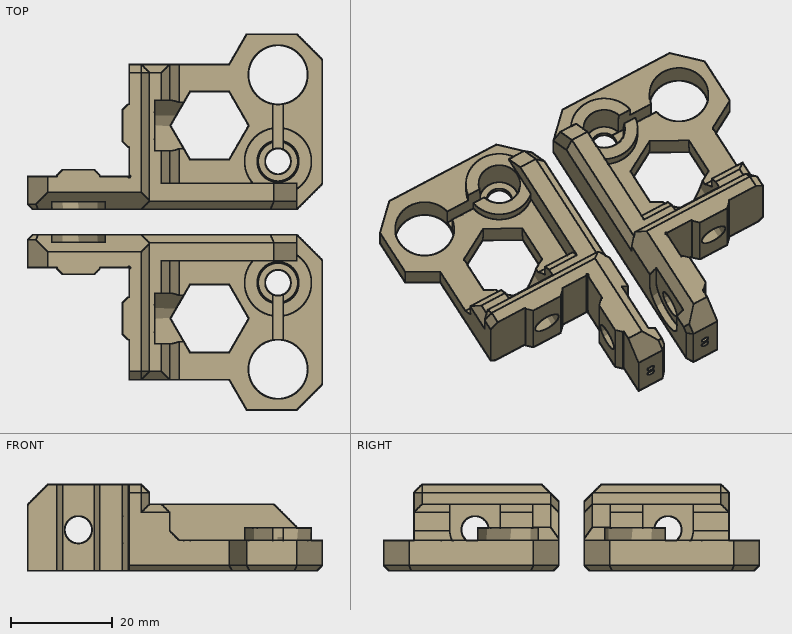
import cadquery as cq
import math

total_length = 58.0
total_width = 74.0
total_height = 17.0
gap = 4.95
bracket_width = (total_width - gap) / 2

plate_height = 6.0
plate_corner = 5.0
plate_step_start = 39.7
plate_step_angle = 60
bottom_chamfer = 1.0

arm_width = 6.5
wall_start = 20.0
wall_end_y = 28.6
tower_end = 24.0
edge_chamfer = 1.6
arm_end_chamfer = 4.0
arm_inner_chamfer = 3.4
arm_corner_chamfer = 1.0
corner_relief_diameter = 0.45

ledge_height = 13.1
ledge_end = 28.0
ledge_foot = 1.85
rail_width = 5.2
rail_slope_start = 48.5
rail_end = total_length - plate_corner

rib_base_width = 8.4
rib_height = 1.3
rib_chamfer = 1.1

screw_z = 8.1
screw_diameter = 5.3
arm_screw_x = 10.0
wall_screw_y = 16.5
arm_recess_width = 10.5
arm_recess_depth = 1.5
wall_recess_width = 10.0
wall_recess_start = 25.0

hexagon_x = 35.8
hexagon_flats = 13.3
hexagon_flare = 0.2
hexagon_flare_height = 2.95

rod_x = 49.3
rod_y = 9.5
rod_hole_diameter = 5.0
socket_diameter = 7.8
socket_mouth_diameter = 8.2
socket_taper_depth = 1.8
socket_floor = 1.0
boss_diameter = 13.2
boss_top = 8.4
opening_y = 26.5
opening_diameter = 11.6
slit_width = 2.0
slit_floor = 0.9

pin_diameter = 1.5
pin_depth = 0.5
pin_y = 3.7
pin_heights = (5.55, 7.55)


def prism_along_y(points, length):
    """Extrude an XZ outline from Y = 0 towards +Y."""
    return cq.Workplane("XZ").polyline(points).close().extrude(-length)


def prism_along_x(points, length):
    """Extrude a YZ outline from X = 0 towards +X."""
    return cq.Workplane("YZ").polyline(points).close().extrude(length)


def make_plate():
    step_run = (bracket_width - wall_end_y) / math.tan(math.radians(plate_step_angle))
    outline = [
        (0, arm_corner_chamfer),
        (arm_corner_chamfer, 0),
        (rail_end, 0),
        (total_length, plate_corner),
        (total_length, bracket_width - plate_corner),
        (rail_end, bracket_width),
        (plate_step_start + step_run, bracket_width),
        (plate_step_start, wall_end_y),
        (wall_start, wall_end_y),
        (wall_start, arm_width),
        (0, arm_width),
    ]
    plate = cq.Workplane("XY").polyline(outline).close().extrude(plate_height)
    chamfered_edges_box = cq.selectors.BoxSelector(
        (wall_start + 0.75, -0.75, -0.75), (total_length + 0.75, bracket_width + 0.75, 0.75)
    )
    return plate.faces("<Z").edges(chamfered_edges_box).chamfer(bottom_chamfer)


def make_upright():
    """L-shaped upright: a chamfered plan, trimmed by the outlines of its arm end and gap side."""
    upright = (
        cq.Workplane("XY")
        .polyline([
            (0, 0),
            (tower_end - edge_chamfer, 0),
            (tower_end, edge_chamfer),
            (tower_end, wall_end_y),
            (wall_start, wall_end_y),
            (wall_start, arm_width),
            (0, arm_width),
        ])
        .close()
        .extrude(total_height)
    )
    wall_corner_box = cq.selectors.BoxSelector(
        (wall_start, 2 * edge_chamfer, 0.75), (tower_end + 0.75, wall_end_y + 0.75, total_height + 0.75)
    )
    back_edges = upright.faces(">X").edges(wall_corner_box)
    upright = back_edges.add(upright.faces(">Y").edges(">Z")).chamfer(edge_chamfer)
    front = prism_along_y(
        [
            (0, plate_height),
            (0, total_height - arm_end_chamfer),
            (arm_end_chamfer, total_height),
            (tower_end, total_height),
            (tower_end, plate_height),
        ],
        wall_end_y,
    )
    arm_end_box = cq.selectors.BoxSelector((-0.75, -0.75, 0), (arm_end_chamfer, 0.75, total_height))
    front = front.faces("<Y").edges(arm_end_box).chamfer(arm_corner_chamfer)
    side = prism_along_x(
        [
            (0, plate_height),
            (0, total_height - arm_inner_chamfer),
            (arm_inner_chamfer, total_height),
            (wall_end_y, total_height),
            (wall_end_y, plate_height),
        ],
        tower_end,
    )
    return upright.intersect(front).intersect(side)


def make_ledge():
    front = prism_along_y(
        [
            (wall_start, plate_height),
            (wall_start, ledge_height),
            (ledge_end - edge_chamfer, ledge_height),
            (ledge_end, ledge_height - edge_chamfer),
            (ledge_end, plate_height + ledge_foot),
            (ledge_end + ledge_foot, plate_height),
        ],
        wall_end_y,
    )
    side = prism_along_x(
        [
            (0, plate_height),
            (0, ledge_height - edge_chamfer),
            (edge_chamfer, ledge_height),
            (wall_end_y - edge_chamfer, ledge_height),
            (wall_end_y, ledge_height - edge_chamfer),
            (wall_end_y, plate_height),
        ],
        total_length,
    )
    return front.intersect(side)


def make_rail():
    slope_end_z = ledge_height - (rail_end - rail_slope_start)
    rail = prism_along_y(
        [
            (wall_start, plate_height),
            (wall_start, ledge_height),
            (rail_slope_start, ledge_height),
            (rail_end, slope_end_z),
            (rail_end, plate_height),
        ],
        rail_width,
    )
    top_edges_box = cq.selectors.BoxSelector(
        (wall_start + 0.75, -0.75, slope_end_z), (rail_end - 0.75, 0.75, total_height)
    )
    return rail.faces("<Y").edges(top_edges_box).chamfer(edge_chamfer)


def make_rib():
    """Full-height rib along X, centred on X = 0, standing on the plane Y = 0."""
    half = rib_base_width / 2
    return (
        cq.Workplane("XY")
        .polyline([
            (-half, 0),
            (half, 0),
            (half, rib_height - rib_chamfer),
            (half - rib_chamfer, rib_height),
            (rib_chamfer - half, rib_height),
            (-half, rib_height - rib_chamfer),
        ])
        .close()
        .extrude(total_height)
    )


def make_u_recess(width, depth):
    """Round-bottomed recess open at the top, cut from Y = 0 towards +Y at X = 0."""
    half = width / 2
    return (
        cq.Workplane("XZ")
        .moveTo(-half, total_height)
        .lineTo(-half, screw_z)
        .threePointArc((0, screw_z - half), (half, screw_z))
        .lineTo(half, total_height)
        .close()
        .extrude(-depth)
    )


def make_screw_cuts():
    arm_hole = (
        cq.Workplane("XZ")
        .center(arm_screw_x, screw_z)
        .circle(screw_diameter / 2)
        .extrude(-arm_width - rib_height)
    )
    arm_recess = make_u_recess(arm_recess_width, arm_recess_depth).translate((arm_screw_x, 0, 0))
    wall_hole = (
        cq.Workplane("YZ")
        .center(wall_screw_y, screw_z)
        .circle(screw_diameter / 2)
        .extrude(hexagon_x)
    )
    wall_recess = (
        make_u_recess(wall_recess_width, hexagon_x - wall_recess_start)
        .rotate((0, 0, 0), (0, 0, 1), -90)
        .translate((wall_recess_start, wall_screw_y, 0))
    )
    return arm_hole.union(arm_recess).union(wall_hole).union(wall_recess)


def make_hexagon_window():
    """Hexagonal window that widens slightly towards the bottom."""
    corners = hexagon_flats / math.cos(math.pi / 6)
    bottom_corners = (hexagon_flats + 2 * hexagon_flare) / math.cos(math.pi / 6)
    straight = (
        cq.Workplane("XY").center(hexagon_x, wall_screw_y).polygon(6, corners).extrude(plate_height)
    )
    flared = (
        cq.Workplane("XY")
        .center(hexagon_x, wall_screw_y)
        .polygon(6, bottom_corners)
        .workplane(offset=hexagon_flare_height)
        .polygon(6, corners)
        .loft(ruled=True)
    )
    return straight.union(flared)


def vertical_cylinder(x, y, diameter, bottom, top):
    return cq.Workplane("XY", origin=(x, y, bottom)).circle(diameter / 2).extrude(top - bottom)


def make_rod_cuts():
    taper_start = boss_top - socket_taper_depth
    hole = vertical_cylinder(rod_x, rod_y, rod_hole_diameter, 0, boss_top)
    socket = vertical_cylinder(rod_x, rod_y, socket_diameter, socket_floor, boss_top)
    mouth = (
        cq.Workplane("XY", origin=(rod_x, rod_y, taper_start))
        .circle(socket_diameter / 2)
        .workplane(offset=socket_taper_depth)
        .circle(socket_mouth_diameter / 2)
        .loft()
    )
    slit = cq.Workplane("XY").box(
        slit_width, opening_y - rod_y, boss_top - slit_floor, centered=(True, False, False)
    ).translate((rod_x, rod_y, slit_floor))
    opening = vertical_cylinder(rod_x, opening_y, opening_diameter, 0, plate_height)
    return hole.union(socket).union(mouth).union(slit).union(opening)


def make_pin_holes():
    points = [(pin_y, height) for height in pin_heights]
    return cq.Workplane("YZ").pushPoints(points).circle(pin_diameter / 2).extrude(pin_depth)


def make_bracket():
    """One bracket, with its gap-side face on the plane Y = 0."""
    arm_rib = make_rib().translate((arm_screw_x, arm_width, 0))
    wall_rib = make_rib().rotate((0, 0, 0), (0, 0, 1), 90).translate((wall_start, wall_screw_y, 0))
    boss = vertical_cylinder(rod_x, rod_y, boss_diameter, plate_height, boss_top)
    corner_relief = vertical_cylinder(wall_start, arm_width, corner_relief_diameter, 0, total_height)

    bracket = make_plate()
    for part in (make_upright(), make_ledge(), make_rail(), arm_rib, wall_rib, boss):
        bracket = bracket.union(part)
    for cutter in (
        make_screw_cuts(),
        make_hexagon_window(),
        make_rod_cuts(),
        make_pin_holes(),
        corner_relief,
    ):
        bracket = bracket.cut(cutter)
    return bracket


bracket = make_bracket().translate((0, gap / 2, 0))
brackets = [side.val() for side in (bracket, bracket.mirror("XZ"))]

result = cq.Compound.makeCompound(brackets)